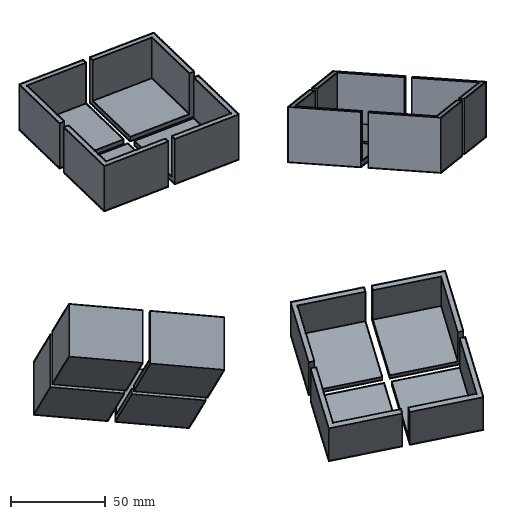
import cadquery as cq

outer_size = 84.0
gap = 4.0
height = 30.0
wall = 3.0
floor = 3.0

corner_size = (outer_size - gap) / 2
pocket_size = corner_size - wall


def corner_tray(side_x, side_y):
    """One quarter of the tray: a floor and two outer walls, open toward the centre.

    side_x and side_y are +1 or -1 and select the quadrant.
    """
    block_offset = (gap + corner_size) / 2
    pocket_offset = (gap + pocket_size) / 2
    block = (
        cq.Workplane("XY")
        .center(side_x * block_offset, side_y * block_offset)
        .rect(corner_size, corner_size)
        .extrude(height)
    )
    pocket = (
        cq.Workplane("XY", origin=(0, 0, floor))
        .center(side_x * pocket_offset, side_y * pocket_offset)
        .rect(pocket_size, pocket_size)
        .extrude(height - floor)
    )
    return block.cut(pocket)


corners = []
for side_x in (-1, 1):
    for side_y in (-1, 1):
        corners.append(corner_tray(side_x, side_y).val())

result = cq.Compound.makeCompound(corners)